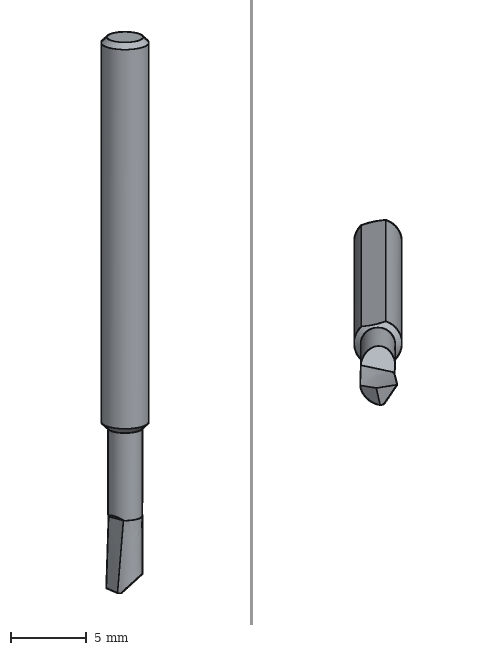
import cadquery as cq
import math

total_length = 38.1
shank_diameter = 3.15
shank_radius = shank_diameter / 2
shank_depth = 2.95
flat_distance = shank_depth - shank_radius
end_chamfer = 0.4
shank_bottom = 11.6
neck_radius = 1.15
neck_center_y = 0.05
neck_bottom = 5.1
relief_slope = 1.0
rake_slope = 1.1

top_edge = (-1.0, -0.5)
top_heel = (0.23, -1.05)
top_back = (1.05, 0.45)
end_edge = (-1.3, -0.05)
end_heel = (-0.15, -1.2)
end_back = (1.22, 0.05)
tip_back_radius = 1.22

corner_x = 0.1
corner_height = 1.22
end_relief_height = 0.1


def make_shank():
    """Shank with a bevelled top, a cone down to the neck and a side flat."""
    top_radius = shank_radius - end_chamfer
    cone_bottom = shank_bottom - (shank_radius - neck_radius)
    shank = (
        cq.Workplane("XZ")
        .moveTo(0, cone_bottom)
        .lineTo(neck_radius, cone_bottom)
        .lineTo(shank_radius, shank_bottom)
        .lineTo(shank_radius, total_length - end_chamfer)
        .lineTo(top_radius, total_length)
        .lineTo(0, total_length)
        .close()
        .revolve(360, (0, 0, 0), (0, 1, 0))
    )
    width = 2 * shank_radius
    flat_cut = cq.Workplane("XY").box(width, width, total_length, centered=(True, False, False))
    return shank.cut(flat_cut.translate((0, flat_distance, 0)))


def ledge_cutter(start, end, slope):
    """Wedge left of the line start-end, rising away from the bottom of the neck."""
    along_x = end[0] - start[0]
    along_y = end[1] - start[1]
    length = math.hypot(along_x, along_y)
    outward = (-along_y / length, along_x / length, 0)
    reach = 3 * neck_radius
    plane = cq.Plane(
        origin=(start[0], start[1], neck_bottom),
        xDir=outward,
        normal=(along_x, along_y, 0),
    )
    return (
        cq.Workplane(plane)
        .moveTo(0, 0)
        .lineTo(reach, 0)
        .lineTo(reach, reach * slope)
        .close()
        .extrude(reach, both=True)
    )


def make_neck():
    """Round neck with sloping ledges above the rake and relief faces."""
    neck = (
        cq.Workplane("XY", origin=(0, neck_center_y, neck_bottom))
        .circle(neck_radius)
        .extrude(shank_bottom - neck_bottom)
    )
    neck = neck.cut(ledge_cutter(top_edge, top_back, rake_slope))
    return neck.cut(ledge_cutter(top_heel, top_edge, relief_slope))


def tip_section(workplane, edge, heel, back, center_y, radius):
    """Section with flat relief and rake sides and a rounded back."""
    heel_angle = math.atan2(heel[1] - center_y, heel[0])
    back_angle = math.atan2(back[1] - center_y, back[0])
    middle = (heel_angle + back_angle) / 2
    return (
        workplane.moveTo(*edge)
        .lineTo(*heel)
        .threePointArc((radius * math.cos(middle), center_y + radius * math.sin(middle)), back)
        .close()
    )


def make_tip():
    """Twisted tip, with a bevelled back corner and a relieved end face."""
    section = tip_section(cq.Workplane("XY"), end_edge, end_heel, end_back, 0, tip_back_radius)
    section = tip_section(
        section.workplane(offset=neck_bottom), top_edge, top_heel, top_back, neck_center_y, neck_radius
    )
    tip = section.loft(ruled=True)
    bevel_slope = (corner_height - end_relief_height) / (end_back[0] - corner_x)
    far_x = 2 * end_back[0]
    end_cut = (
        cq.Workplane("XZ")
        .moveTo(end_edge[0], 0)
        .lineTo(corner_x, end_relief_height)
        .lineTo(far_x, end_relief_height + bevel_slope * (far_x - corner_x))
        .lineTo(far_x, 0)
        .close()
        .extrude(shank_radius, both=True)
    )
    return tip.cut(end_cut)


result = make_shank().union(make_neck()).union(make_tip())